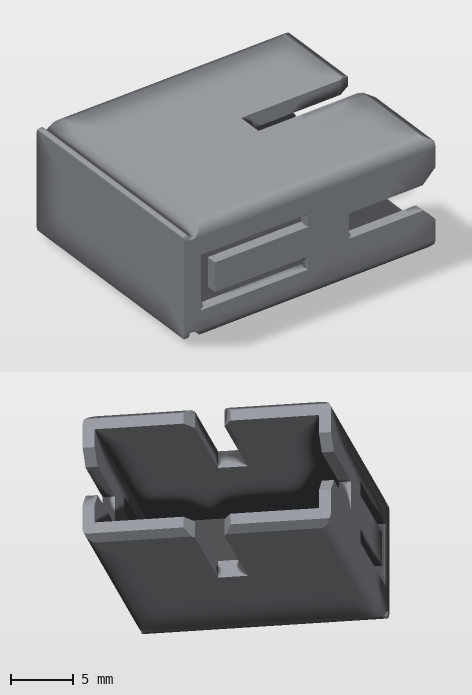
import cadquery as cq
import math

width = 20.2
length = 24.7
height = 10.7
corner_radius = 1.0
front_y = -length / 2
back_y = length / 2
top_z = height / 2

side_wall = 1.0
plate_thickness = 1.4
front_wall = 1.7

groove_depth = 0.96
groove_end = 1.04
bead_width = 0.57
bead_drop = 0.5
bead_round = 0.17

lead_in_length = 0.86
lead_in_drop = lead_in_length * math.tan(math.radians(30))

slot_width = 2.4
mouth_length = 1.24
plate_slot_length = 11.0
plate_mouth_flare = mouth_length * math.tan(math.radians(30))
side_slot_length = 8.5
side_mouth_flare = mouth_length * math.tan(math.radians(45))

window_start = 12.5
window_height = 5.24
tongue_height = 2.8
tongue_length = 9.15


def box_between(x_size, y_start, y_end, z_size):
    """Box centred on X and Z that spans a range of Y."""
    return cq.Workplane("XY").box(x_size, y_end - y_start, z_size).translate((0, (y_start + y_end) / 2, 0))


def sleeve():
    """Round-edged block with a rectangular cavity open at the back."""
    block = cq.Workplane("XY").box(width, length, height).edges("|Y").fillet(corner_radius)
    cavity = box_between(width - 2 * side_wall, front_y + front_wall, back_y, height - 2 * plate_thickness)
    return block.cut(cavity)


def plate_end_cuts():
    """Material removed at both ends of the top plate, mirrored to the bottom plate."""
    crest_z = top_z - bead_drop
    floor_z = top_z - groove_depth
    bead_back_y = front_y + bead_width
    bend = bead_round * (1 - math.sqrt(0.5))
    front_cut = (
        cq.Workplane("YZ")
        .moveTo(front_y, top_z)
        .lineTo(front_y, crest_z - bead_round)
        .threePointArc((front_y + bend, crest_z - bend), (front_y + bead_round, crest_z))
        .lineTo(bead_back_y - bead_round, crest_z)
        .threePointArc((bead_back_y - bend, crest_z - bend), (bead_back_y, crest_z - bead_round))
        .lineTo(bead_back_y, floor_z)
        .lineTo(front_y + groove_end, floor_z)
        .lineTo(front_y + groove_end + groove_depth, top_z)
        .close()
        .extrude(width / 2, both=True)
    )
    back_cut = (
        cq.Workplane("YZ")
        .moveTo(back_y, top_z)
        .lineTo(back_y, top_z - lead_in_drop)
        .lineTo(back_y - lead_in_length, top_z)
        .close()
        .extrude(width / 2, both=True)
    )
    top_cuts = front_cut.union(back_cut)
    return top_cuts.union(top_cuts.mirror("XY"))


def flared_slot(slot_length, mouth_flare, cut_depth):
    """Vertical slot open at the back, with a mouth that flares on both sides."""
    half = slot_width / 2
    mouth_half = half + mouth_flare
    return (
        cq.Workplane("XY")
        .polyline([
            (-half, back_y - slot_length),
            (half, back_y - slot_length),
            (half, back_y - mouth_length),
            (mouth_half, back_y),
            (-mouth_half, back_y),
            (-half, back_y - mouth_length),
        ])
        .close()
        .extrude(cut_depth / 2, both=True)
    )


def side_slot():
    """The same kind of slot turned to run through both side walls."""
    slot = flared_slot(side_slot_length, side_mouth_flare, width)
    return slot.rotate((0, 0, 0), (0, 1, 0), 90)


def tongue_windows():
    """U-shaped opening through both side walls that leaves a tongue in each."""
    root_y = back_y - window_start
    window = box_between(width, front_y + front_wall, root_y, window_height)
    tongue = box_between(width, root_y - tongue_length, root_y, tongue_height)
    return window.cut(tongue)


result = (
    sleeve()
    .cut(plate_end_cuts())
    .cut(flared_slot(plate_slot_length, plate_mouth_flare, height))
    .cut(side_slot())
    .cut(tongue_windows())
)